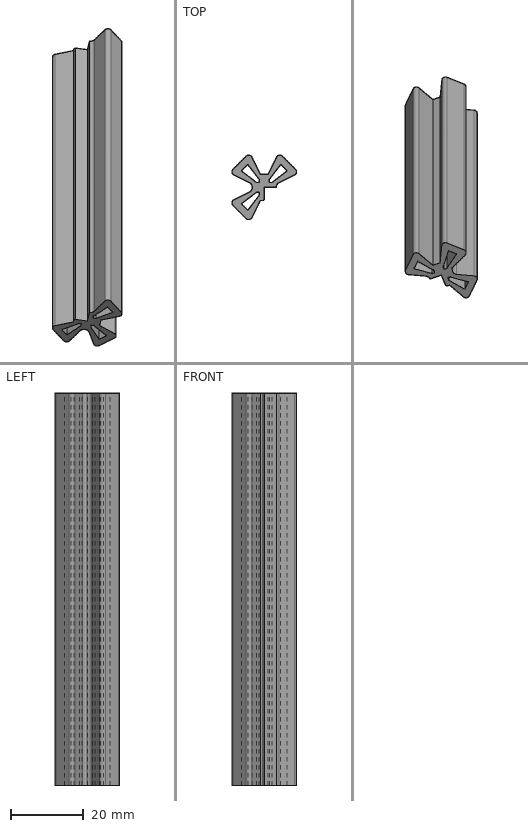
import cadquery as cq

length = 107.5
overall_width = 17.7
tip_radius = 1.01
tip_near = 4.0
tip_far = 9.6
flank_start = 1.5
hub_half_x = 3.3
hub_half_y = 3.7
notch_radius = 1.3
lip_chamfer = 0.3

pocket_outer_near = 4.5
pocket_outer_far = 6.2
pocket_inner_near = 1.4
pocket_inner_far = 2.2

arm_quadrants = [(-1, 1), (1, 1), (-1, -1)]


def prism(points, sign_x, sign_y):
    """Full-length prism of an outline mirrored into the given quadrant."""
    mirrored = [(sign_x * x, sign_y * y) for x, y in points]
    return cq.Workplane("XY").polyline(mirrored).close().extrude(length)


def arm(sign_x, sign_y):
    """Arm flaring outward to a flat tip with two rounded corners."""
    outline = [
        (0, 0),
        (0, flank_start),
        (tip_near, tip_far),
        (tip_far, tip_near),
        (flank_start, 0),
    ]
    tip_middle = (sign_x * overall_width, sign_y * overall_width, length / 2)
    tip_edges = cq.selectors.NearestToPointSelector(tip_middle)
    return prism(outline, sign_x, sign_y).faces(tip_edges).edges("|Z").fillet(tip_radius)


def pocket(sign_x, sign_y):
    """Tapered opening along an arm, square-cornered at its inner end."""
    outline = [
        (pocket_inner_near, pocket_inner_near),
        (pocket_inner_near, pocket_inner_far),
        (pocket_outer_near, pocket_outer_far),
        (pocket_outer_far, pocket_outer_near),
        (pocket_inner_far, pocket_inner_near),
    ]
    return prism(outline, sign_x, sign_y)


body = cq.Workplane("XY").rect(2 * hub_half_x, 2 * hub_half_y).extrude(length)
for quadrant in arm_quadrants + [(1, -1)]:
    body = body.union(arm(*quadrant))

notch_selector = cq.selectors.BoxSelector(
    (-overall_width, -hub_half_y / 2, 0),
    (overall_width, hub_half_y / 2, length),
)
body = body.edges("|Z").edges(notch_selector).fillet(notch_radius)

empty_quadrant = (
    cq.Workplane("XY")
    .rect(overall_width, -overall_width, centered=False)
    .extrude(length)
)
body = body.cut(empty_quadrant)
for quadrant in arm_quadrants:
    body = body.cut(pocket(*quadrant))

lip_edge = cq.selectors.NearestToPointSelector((0, -hub_half_y, length / 2))
result = body.edges("|Z").edges(lip_edge).chamfer(lip_chamfer)